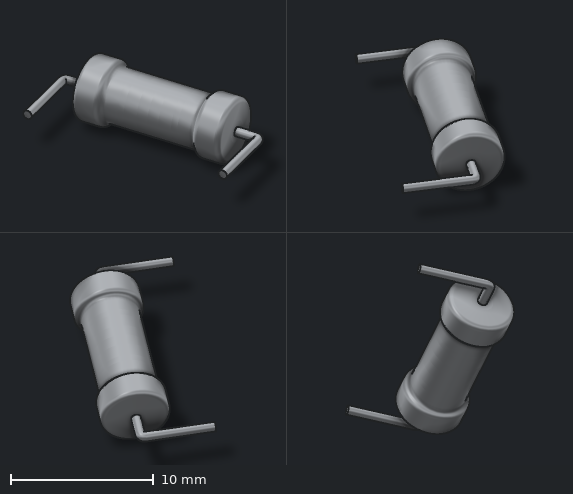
import cadquery as cq
import math


core_radius = 4.2 / 2
cap_radius = 5.0 / 2
end_flat_radius = 0.8

half_length = 6.0
end_cone_depth = 0.07
cap_rim_radius = 0.4
cap_shoulder_x = 4.15
core_end_x = 3.4
band_edges = [0.0, 0.87, 1.9, 2.4]

shoulder_arc_radius = cap_radius - core_radius
shoulder_arc_angle = math.radians(60)

wire_radius = 0.7 / 2
overall_length = 16.36
lead_x = overall_length / 2 - wire_radius
bend_radius = 0.3
leg_length = 5.0


def arc_offset(angle):
    """Axial run and radial drop along a shoulder arc that starts parallel to X."""
    run = shoulder_arc_radius * math.sin(angle)
    drop = shoulder_arc_radius * (1 - math.cos(angle))
    return run, drop


def make_body():
    """Revolve the half profile about X and mirror it; the core surface is divided at the band edges."""
    rim_face_x = half_length - end_cone_depth
    rim_start_x = rim_face_x - cap_rim_radius
    rim_inset = cap_rim_radius * (1 - math.cos(math.radians(45)))
    run, drop = arc_offset(shoulder_arc_angle)
    half_run, half_drop = arc_offset(shoulder_arc_angle / 2)
    foot_x = cap_shoulder_x - 2 * run
    foot_radius = cap_radius - 2 * drop

    profile = (
        cq.Workplane("XY")
        .lineTo(half_length, 0)
        .lineTo(half_length, end_flat_radius)
        .lineTo(rim_face_x, cap_radius - cap_rim_radius)
        .threePointArc((rim_face_x - rim_inset, cap_radius - rim_inset), (rim_start_x, cap_radius))
        .lineTo(cap_shoulder_x, cap_radius)
        .threePointArc(
            (cap_shoulder_x - half_run, cap_radius - half_drop),
            (cap_shoulder_x - run, cap_radius - drop),
        )
        .threePointArc((foot_x + half_run, foot_radius + half_drop), (foot_x, foot_radius))
        .lineTo(core_end_x, core_radius)
    )
    for edge_x in reversed(band_edges):
        profile = profile.lineTo(edge_x, core_radius)
    half_body = profile.close().revolve(360, (0, 0), (1, 0), clean=False)
    return half_body.union(half_body.mirror("YZ"), clean=False)


def make_lead(side):
    """Bent wire that butts on one end of the body; side is 1 at +X and -1 at -X."""
    bend_x = lead_x - bend_radius
    axial_length = bend_x - half_length
    axial_wire = cq.Workplane("YZ", origin=(half_length, 0, 0)).circle(wire_radius).extrude(axial_length)
    leg = cq.Workplane("XZ", origin=(lead_x, -bend_radius, 0)).circle(wire_radius).extrude(leg_length)

    axis_half_chord = math.sqrt(wire_radius**2 - bend_radius**2)
    elbow = (
        cq.Workplane("XZ", origin=(bend_x, -bend_radius, 0))
        .moveTo(0, -axis_half_chord)
        .threePointArc((bend_radius + wire_radius, 0), (0, axis_half_chord))
        .close()
        .revolve(90, (0, 0), (0, 1))
    )
    lead = axial_wire.union(elbow).union(leg)
    if side < 0:
        lead = lead.mirror("YZ")
    return lead


body = make_body()
leads = [make_lead(side) for side in (-1, 1)]

result = cq.Compound.makeCompound([body.solids().val()] + [lead.solids().val() for lead in leads])